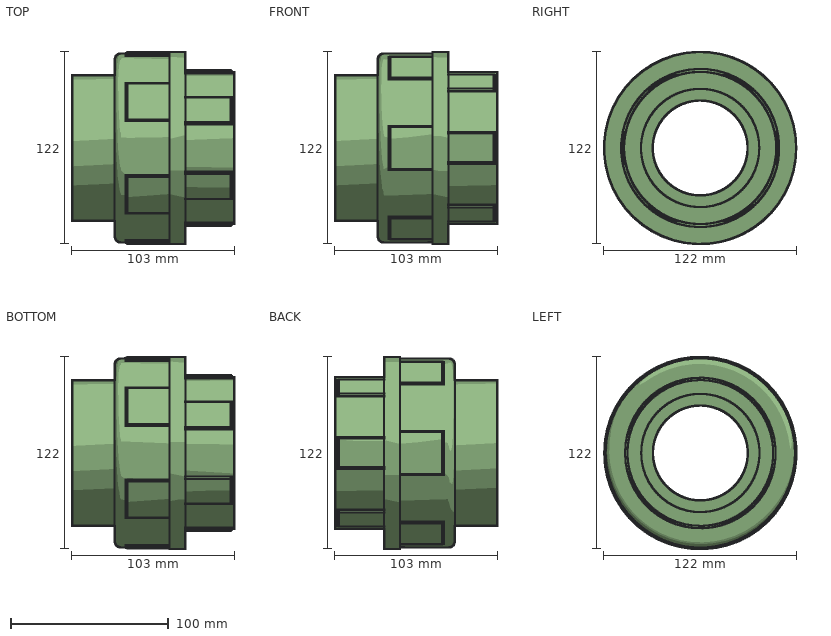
import cadquery as cq
import math

total_length = 103.0
spigot_end_x = total_length / 2
socket_depth = 43.9
nut_front_x = 27.0
nut_lip_thickness = 8.5
collar_start_x = 61.7
nut_end_x = 71.9
nut_pad_start_x = 34.0
tail_pad_end_x = 101.4

waterway_diameter = 60.0
socket_diameter = 75.0
spigot_diameter = 92.5
nut_lip_diameter = 95.5
nut_bore_diameter = 100.3
nut_diameter = 120.0
collar_diameter = 122.0
tail_diameter = 96.5

nut_front_fillet = 4.1
pad_count = 6
nut_pad_radius = 60.8
nut_pad_half_width = 14.0
nut_pad_side_bevel = 0.9
nut_pad_end_bevel = 1.2
tail_pad_radius = 49.5
tail_pad_half_width = 10.0
tail_pad_side_bevel = 1.0
tail_pad_end_bevel = 1.0
tail_pad_rim_height = 0.4


def cylinder(diameter, start_x, end_x):
    """Solid cylinder around the X axis."""
    return cq.Workplane("YZ", origin=(start_x, 0, 0)).circle(diameter / 2).extrude(end_x - start_x)


def grip_pads(base_radius, crest_radius, half_width, side_bevel, root_x, tip_x, end_bevel,
              rim_height=0):
    """Raised pads around the X axis, with bevelled sides and a bevelled end at tip_x.

    The bevels start rim_height above the base surface.
    """
    crest_half_width = half_width - side_bevel
    foot_height = math.sqrt(base_radius**2 - half_width**2)
    rim_top_height = foot_height + rim_height
    crest_height = math.sqrt(crest_radius**2 - crest_half_width**2)
    root_height = foot_height - (crest_radius - base_radius)
    length = abs(tip_x - root_x)

    pad_bar = (
        cq.Workplane("YZ", origin=(min(root_x, tip_x), 0, 0))
        .moveTo(-half_width, root_height)
        .lineTo(-half_width, rim_top_height)
        .lineTo(-crest_half_width, crest_height)
        .lineTo(-crest_half_width, crest_radius)
        .lineTo(crest_half_width, crest_radius)
        .lineTo(crest_half_width, crest_height)
        .lineTo(half_width, rim_top_height)
        .lineTo(half_width, root_height)
        .close()
        .extrude(length)
    )

    crest_end_x = tip_x + math.copysign(end_bevel, root_x - tip_x)
    envelope = (
        cq.Workplane("XY")
        .polyline([(root_x, 0), (root_x, crest_radius), (crest_end_x, crest_radius),
                   (tip_x, base_radius + rim_height), (tip_x, 0)])
        .close()
        .revolve(360, (0, 0, 0), (1, 0, 0))
    )
    pad = pad_bar.intersect(envelope)

    return [pad.rotate((0, 0, 0), (1, 0, 0), -90 + i * 360 / pad_count) for i in range(pad_count)]


def make_spigot():
    """Plain pipe end with a flange that the nut lip pulls on."""
    flange_start_x = nut_front_x + nut_lip_thickness
    spigot = cylinder(spigot_diameter, 0, spigot_end_x)
    spigot = spigot.union(cylinder(nut_bore_diameter, flange_start_x, spigot_end_x))
    spigot = spigot.cut(cylinder(socket_diameter, 0, socket_depth))
    return spigot.cut(cylinder(waterway_diameter, socket_depth, spigot_end_x))


def make_nut():
    """Union nut with a rounded front, grip pads and a rear collar."""
    nut = cylinder(nut_diameter, nut_front_x, collar_start_x)
    nut = nut.faces("<X").edges().fillet(nut_front_fillet)
    nut = nut.union(cylinder(collar_diameter, collar_start_x, nut_end_x))
    for pad in grip_pads(nut_diameter / 2, nut_pad_radius, nut_pad_half_width, nut_pad_side_bevel,
                         collar_start_x, nut_pad_start_x, nut_pad_end_bevel):
        nut = nut.union(pad)
    nut = nut.cut(cylinder(nut_lip_diameter, nut_front_x, nut_end_x))
    return nut.cut(cylinder(nut_bore_diameter, nut_front_x + nut_lip_thickness, nut_end_x))


def make_tail():
    """Tail piece with a shoulder inside the nut and grip pads outside it."""
    tail = cylinder(tail_diameter, spigot_end_x, total_length)
    tail = tail.union(cylinder(nut_bore_diameter, spigot_end_x, collar_start_x))
    for pad in grip_pads(tail_diameter / 2, tail_pad_radius, tail_pad_half_width, tail_pad_side_bevel,
                         collar_start_x, tail_pad_end_x, tail_pad_end_bevel,
                         tail_pad_rim_height):
        tail = tail.union(pad)
    socket_floor_x = total_length - socket_depth
    tail = tail.cut(cylinder(socket_diameter, socket_floor_x, total_length))
    return tail.cut(cylinder(waterway_diameter, spigot_end_x, socket_floor_x))


spigot = make_spigot()
nut = make_nut()
tail = make_tail()
result = cq.Compound.makeCompound([spigot.val(), nut.val(), tail.val()])